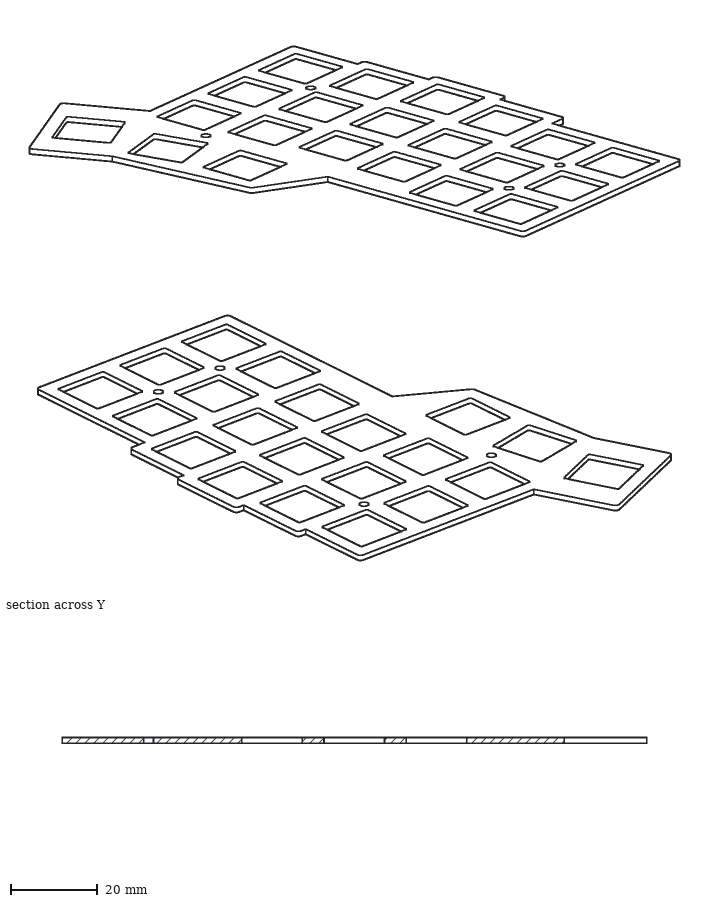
import cadquery as cq
import math


pitch = 19.0
switch_size = 13.95
switch_corner_radius = 0.4
row_count = 3
stagger_step = pitch / 8
column_staggers = [0, stagger_step, 2 * stagger_step, stagger_step, -stagger_step, -stagger_step]
last_column = len(column_staggers) - 1

thickness = 1.35
border = 1.02
edge_offset = pitch / 2 + border
corner_radius = 1.0
screw_diameter = 2.2

thumb_tilt = 12.0
outer_thumb = (-14.137, -23.25, 2 * thumb_tilt)
middle_thumb = (7.6, -21.2, thumb_tilt)
inner_thumb = (1.5 * pitch, -pitch, 0)
outer_thumb_half_length = 15.25

inner_thumb_side = 10.1

bottom_edge_start_x = 48.0


def column_x(column):
    return column * pitch


def switch_y(column, row):
    return row * pitch + column_staggers[column]


def column_top(column):
    return switch_y(column, row_count - 1) + edge_offset


def outer_thumb_point(along, across):
    """Turn a point in the tilted frame of the outer thumb key into plate coordinates."""
    x, y, degrees = outer_thumb
    angle = math.radians(degrees)
    return (
        x + along * math.cos(angle) - across * math.sin(angle),
        y + along * math.sin(angle) + across * math.cos(angle),
    )


def plate_outline():
    """Return the corners of the plate in clockwise order, starting at the outer thumb key."""
    left = -edge_offset
    right = column_x(last_column) + edge_offset
    bottom = switch_y(last_column, 0) - edge_offset

    thumb_top_left = outer_thumb_point(-edge_offset, outer_thumb_half_length)
    thumb_bottom_left = outer_thumb_point(-edge_offset, -outer_thumb_half_length)
    thumb_bottom_right = outer_thumb_point(pitch / 2, -outer_thumb_half_length)
    thumb_slope = math.tan(math.radians(outer_thumb[2]))
    thumb_meets_left_y = thumb_top_left[1] + (left - thumb_top_left[0]) * thumb_slope

    step_1 = column_x(1) - edge_offset
    step_2 = column_x(2) - edge_offset
    step_3 = column_x(2) + edge_offset
    step_4 = column_x(3) + edge_offset

    return [
        thumb_top_left,
        (left, thumb_meets_left_y),
        (left, column_top(0)),
        (step_1, column_top(0)),
        (step_1, column_top(1)),
        (step_2, column_top(1)),
        (step_2, column_top(2)),
        (step_3, column_top(2)),
        (step_3, column_top(3)),
        (step_4, column_top(3)),
        (step_4, column_top(4)),
        (right, column_top(4)),
        (right, bottom),
        (bottom_edge_start_x, bottom),
        (inner_thumb[0] + inner_thumb_side, inner_thumb[1] - edge_offset),
        thumb_bottom_right,
        thumb_bottom_left,
    ]


def turns_inward(before, corner, after):
    """Tell whether a clockwise outline has an inside corner at this point."""
    ax, ay = corner[0] - before[0], corner[1] - before[1]
    bx, by = after[0] - corner[0], after[1] - corner[1]
    return ax * by - ay * bx > 0


def rounded_corners(outline):
    corners = []
    for index, corner in enumerate(outline):
        after = outline[(index + 1) % len(outline)]
        if not turns_inward(outline[index - 1], corner, after):
            corners.append(corner)
    return corners


def make_plate():
    outline = plate_outline()
    plate = cq.Workplane("XY").polyline(outline).close().extrude(thickness)
    for x, y in rounded_corners(outline):
        nearest = cq.selectors.NearestToPointSelector((x, y, thickness / 2))
        plate = plate.edges("|Z").edges(nearest).fillet(corner_radius)
    return plate


def switch_cutout(x, y, degrees=0):
    cutout = cq.Workplane("XY").rect(switch_size, switch_size).extrude(thickness)
    cutout = cutout.edges("|Z").fillet(switch_corner_radius)
    return cutout.rotate((0, 0, 0), (0, 0, 1), degrees).translate((x, y, 0))


def cut_switches(plate):
    for column in range(len(column_staggers)):
        for row in range(row_count):
            plate = plate.cut(switch_cutout(column_x(column), switch_y(column, row)))
    for x, y, degrees in (outer_thumb, middle_thumb, inner_thumb):
        plate = plate.cut(switch_cutout(x, y, degrees))
    return plate


def cut_screw_holes(plate):
    half_pitch = pitch / 2
    left_x = column_x(0) + half_pitch
    right_x = column_x(last_column) - half_pitch
    centres = [
        (left_x, (switch_y(0, 1) + switch_y(1, 2)) / 2),
        (left_x, switch_y(0, 0) - half_pitch),
        (right_x, switch_y(last_column, 1) + half_pitch),
        (right_x, switch_y(last_column, 0) + half_pitch),
    ]
    holes = cq.Workplane("XY").pushPoints(centres).circle(screw_diameter / 2).extrude(thickness)
    return plate.cut(holes)


result = cut_screw_holes(cut_switches(make_plate()))